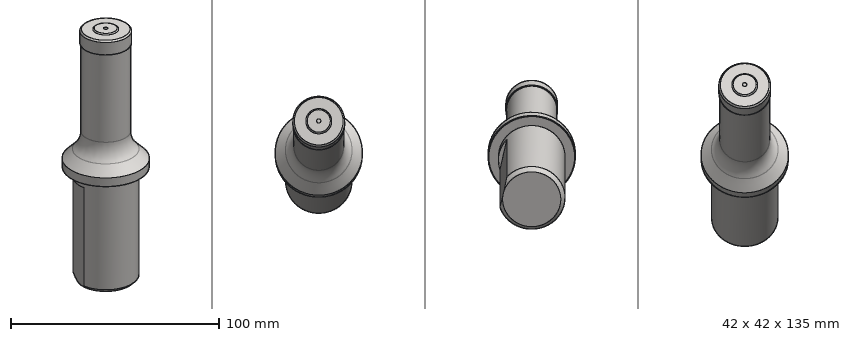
import cadquery as cq
import math

total_height = 135.0
flange_bottom = 60.0
flange_rim_height = 5.0
head_bottom = 126.6

shank_radius = 32.0 / 2
shank_chamfer = 2.0
flat_offset = 13.9
flat_top = 55.1

flange_radius = 42.0 / 2
flange_chamfer = 0.4
neck_radius = 24.0 / 2

head_radius = 25.0 / 2
head_top_chamfer = 0.8
head_bottom_chamfer = 0.4
boss_height = 0.5
boss_base_radius = 6.2
boss_top_radius = 5.5
center_hole_diameter = 2.0
center_hole_depth = 0.1


def make_holder():
    """Turned holder: shank, conical flange and neck, with one clamping flat."""
    flange_top = flange_bottom + flange_rim_height
    cone_top = flange_top + flange_radius - shank_radius
    cone_angle = math.radians(45)
    arc_radius = (shank_radius - neck_radius) / (1 - math.cos(cone_angle))
    arc_top = cone_top + arc_radius * math.sin(cone_angle)
    arc_middle = (
        neck_radius + arc_radius * (1 - math.cos(cone_angle / 2)),
        arc_top - arc_radius * math.sin(cone_angle / 2),
    )

    holder = (
        cq.Workplane("XZ")
        .moveTo(0, 0)
        .lineTo(shank_radius - shank_chamfer, 0)
        .lineTo(shank_radius, shank_chamfer)
        .lineTo(shank_radius, flange_bottom)
        .lineTo(flange_radius - flange_chamfer, flange_bottom)
        .lineTo(flange_radius, flange_bottom + flange_chamfer)
        .lineTo(flange_radius, flange_top)
        .lineTo(shank_radius, cone_top)
        .threePointArc(arc_middle, (neck_radius, arc_top))
        .lineTo(neck_radius, head_bottom)
        .lineTo(0, head_bottom)
        .close()
        .revolve(360, (0, 0, 0), (0, 1, 0))
    )

    flat_cutter = cq.Workplane("XY").box(
        2 * shank_radius, shank_radius, flat_top, centered=(True, False, False)
    ).translate((0, -flat_offset - shank_radius, 0))
    return holder.cut(flat_cutter)


def make_cutting_head():
    """Chamfered disc on the neck, with a low central boss and a small center hole."""
    rim_top = total_height - boss_height
    head = (
        cq.Workplane("XZ")
        .moveTo(0, head_bottom)
        .lineTo(head_radius - head_bottom_chamfer, head_bottom)
        .lineTo(head_radius, head_bottom + head_bottom_chamfer)
        .lineTo(head_radius, rim_top - head_top_chamfer)
        .lineTo(head_radius - head_top_chamfer, rim_top)
        .lineTo(boss_base_radius, rim_top)
        .lineTo(boss_top_radius, total_height)
        .lineTo(0, total_height)
        .close()
        .revolve(360, (0, 0, 0), (0, 1, 0))
    )
    return head.faces(">Z").workplane().hole(center_hole_diameter, center_hole_depth)


holder = make_holder()
cutting_head = make_cutting_head()

result = cq.Compound.makeCompound([holder.val(), cutting_head.val()])